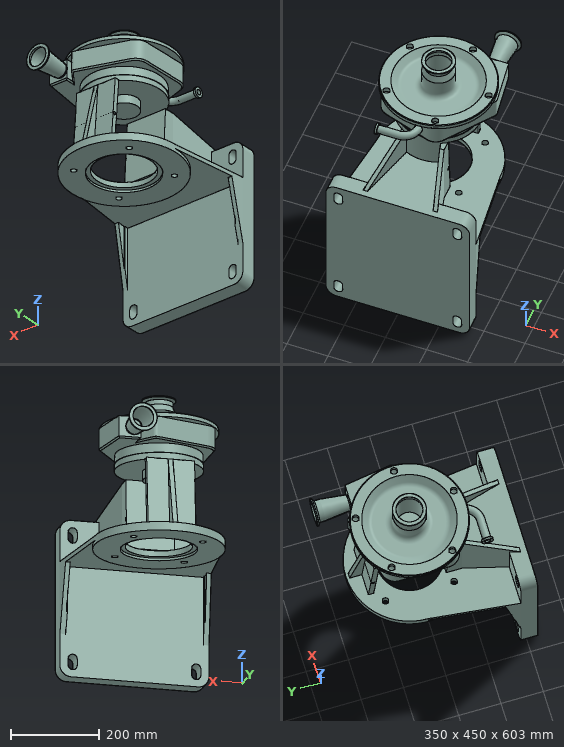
import cadquery as cq
import math


TOTAL_HEIGHT = 603.0
FOOT_WIDTH = 350.0
FOOT_HEIGHT = 370.0
FOOT_THICKNESS = 40.5
FOOT_FRONT_Y = -251.0
FOOT_BACK_Y = FOOT_FRONT_Y + FOOT_THICKNESS
FOOT_CORNER_RADIUS = 26.0
SLOT_WIDTH = 21.0
SLOT_LENGTH = 36.0
SLOT_EDGE_X = 30.0
SLOT_EDGE_Z = 35.5

SHELF_TOP_Z = 271.0
SHELF_THICKNESS = 11.0
SHELF_BOTTOM_Z = SHELF_TOP_Z - SHELF_THICKNESS
SHELF_RADIUS = 150.0
MOTOR_FACE_Z = 251.0
MOTOR_BORE_RADIUS = 76.0
MOTOR_REGISTER_RADIUS = 87.5
MOTOR_REGISTER_DEPTH = 6.0
MOTOR_BOLT_CIRCLE_RADIUS = 114.5
MOTOR_BOLT_DIAMETER = 14.5
GUSSET_THICKNESS = 11.0
GUSSET_DEPTH = 34.5
GUSSET_FOOT_Z = 99.5

RING_BOTTOM_Z = 435.0
SUPPORT_HALF_WIDTH = 56.0
FRONT_INNER_Y_TOP = -79.5
FRONT_INNER_Y_BOTTOM = -70.0
FRONT_END_Y = -108.0
RIB_END_Y = -235.0
RIB_END_X = 90.5
RIB_THICKNESS = 10.0
BACK_INNER_Y_TOP = 88.0
BACK_INNER_Y_BOTTOM = 101.5
BACK_WALL_THICKNESS = 12.5
BACK_RIB_Y_TOP = 101.0
BACK_RIB_Y_BOTTOM = 143.0
BACK_RIB_THICKNESS = 11.5
CROSS_HOLE_DIAMETER = 7.0
CROSS_HOLE_Z = 341.0
CROSS_HOLE_Y = (-79.5, 103.0)

RING_RADIUS = 101.5
RING_TOP_Z = 450.0
COLLAR_RADIUS = 100.0
HUB_RADIUS = 37.5
HUB_BOTTOM_Z = 413.0

CASING_SIDES = 5
CASING_APOTHEM = 114.5
CASING_BOTTOM_Z = 472.0
CASING_TOP_Z = 524.0
CASING_CORNER_FILLET = 34.0
CASING_SMALL_FILLET = 9.0
CASING_CHAMFER = 3.5
OUTLET_BLOCK_X = (73.5, 125.0)
OUTLET_FACE_Y = 114.5

COVER_RADIUS = 135.5
COVER_TOP_Z = 535.0
COVER_CHAMFER = 2.0
COVER_BOLT_CIRCLE_RADIUS = 122.0
COVER_BOLT_RADIUS = 8.0
COVER_BOLT_DEPTH = 12.0
RECESS_DEPTH = 17.0
RECESS_RIM_RADIUS = 108.0
RECESS_RIM_CHAMFER = 2.0
RECESS_CONE_RADIUS = 94.0
RECESS_FLOOR_RADIUS = 84.0
NECK_FILLET = 15.0

INLET_NECK_RADIUS = 38.5
INLET_NECK_TOP_Z = 569.0
INLET_PIPE_RADIUS = 32.0
INLET_PIPE_BOTTOM_Z = 585.0
INLET_BORE_RADIUS = 30.0
INLET_FLANGE_RADIUS = 38.5
FLANGE_RIM = 3.0
FLANGE_TAPER = 4.0

OUTLET_X = 90.5
OUTLET_Z = 499.0
OUTLET_END_Y = 199.0
OUTLET_CONE_END_Y = 179.0
OUTLET_SEAT_LENGTH = 3.0
OUTLET_SEAT_RADIUS = 18.0
OUTLET_ROOT_RADIUS = 19.0
OUTLET_PIPE_RADIUS = 26.0
OUTLET_FLANGE_RADIUS = 32.5
OUTLET_WALL = 2.0

FLUSH_Y = -158.0
FLUSH_Z = 500.5
FLUSH_RADIUS = 9.5
FLUSH_BORE_RADIUS = 6.5
FLUSH_BEND_RADIUS = 35.0
FLUSH_END_X = -89.0
FLUSH_FLANGE_RADIUS = 13.0
FLUSH_FLANGE_THICKNESS = 5.5
FLUSH_EMBEDDED_Y = -108.5


def disc(radius, bottom_z, top_z):
    """Upright cylinder on the pump axis."""
    return cq.Workplane("XY").workplane(offset=bottom_z).circle(radius).extrude(top_z - bottom_z)


def prism_xy(points, bottom_z, top_z):
    """Upright prism over a plan outline."""
    return cq.Workplane("XY").workplane(offset=bottom_z).polyline(points).close().extrude(top_z - bottom_z)


def slab_yz(points, width):
    """Prism along X, centred on x = 0, from a (y, z) outline."""
    return cq.Workplane("YZ").polyline(points).close().extrude(width / 2, both=True)


def turned(profile):
    """Solid of revolution about Z from an (r, z) outline."""
    return cq.Workplane("XZ").polyline(profile).close().revolve(360, (0, 0), (0, 1))


def foot():
    center_z = FOOT_HEIGHT / 2
    slot_pitch_x = FOOT_WIDTH - 2 * SLOT_EDGE_X
    slot_pitch_z = FOOT_HEIGHT - 2 * SLOT_EDGE_Z
    plane = cq.Workplane("XZ", origin=(0, FOOT_BACK_Y, center_z))
    plate = plane.rect(FOOT_WIDTH, FOOT_HEIGHT).extrude(FOOT_THICKNESS)
    plate = plate.edges("|Y").fillet(FOOT_CORNER_RADIUS)
    slots = plane.rarray(slot_pitch_x, slot_pitch_z, 2, 2).slot2D(SLOT_LENGTH, SLOT_WIDTH, 90)
    return plate.cut(slots.extrude(FOOT_THICKNESS))


def shelf_outline():
    """Half-round end with straight sides that spread to the full width of the foot."""
    half_width = FOOT_WIDTH / 2
    return (
        cq.Workplane("XY", origin=(0, 0, SHELF_TOP_Z))
        .moveTo(-half_width, FOOT_BACK_Y)
        .lineTo(half_width, FOOT_BACK_Y)
        .lineTo(SHELF_RADIUS, 0)
        .threePointArc((0, SHELF_RADIUS), (-SHELF_RADIUS, 0))
        .close()
    )


def shelf():
    """Plate with a round motor pad, a bore and a shallow register under it."""
    plate = shelf_outline().extrude(-SHELF_THICKNESS)
    plate = plate.union(disc(SHELF_RADIUS, MOTOR_FACE_Z, SHELF_TOP_Z))
    plate = plate.cut(disc(MOTOR_BORE_RADIUS, MOTOR_FACE_Z, SHELF_TOP_Z))
    plate = plate.cut(disc(MOTOR_REGISTER_RADIUS, MOTOR_FACE_Z, MOTOR_FACE_Z + MOTOR_REGISTER_DEPTH))
    bolts = (
        cq.Workplane("XY", origin=(0, 0, MOTOR_FACE_Z))
        .polarArray(MOTOR_BOLT_CIRCLE_RADIUS, 45, 360, 4)
        .circle(MOTOR_BOLT_DIAMETER / 2)
        .extrude(SHELF_TOP_Z - MOTOR_FACE_Z)
    )
    return plate.cut(bolts)


def gussets():
    """Triangular webs under the shelf, flush with its slanted sides."""
    wedge = slab_yz(
        [
            (FOOT_BACK_Y, SHELF_BOTTOM_Z),
            (FOOT_BACK_Y + GUSSET_DEPTH, SHELF_BOTTOM_Z),
            (FOOT_BACK_Y, GUSSET_FOOT_Z),
        ],
        FOOT_WIDTH,
    )
    flush_sides = shelf_outline().extrude(GUSSET_FOOT_Z - SHELF_TOP_Z)
    between = shelf_outline().offset2D(-GUSSET_THICKNESS).extrude(GUSSET_FOOT_Z - SHELF_TOP_Z)
    opening = between.union(between.translate((0, -2 * GUSSET_THICKNESS, 0)))
    return wedge.intersect(flush_sides).cut(opening)


def front_support():
    """Round-fronted wall between splayed ribs, filled between the ribs up to the top of the foot."""
    side_profile = slab_yz(
        [
            (FRONT_INNER_Y_BOTTOM, SHELF_TOP_Z),
            (FRONT_INNER_Y_TOP, RING_BOTTOM_Z),
            (FRONT_END_Y, RING_BOTTOM_Z),
            (RIB_END_Y, FOOT_HEIGHT),
            (RIB_END_Y, SHELF_TOP_Z),
        ],
        FOOT_WIDTH,
    )
    plan = [
        (SUPPORT_HALF_WIDTH, FRONT_INNER_Y_BOTTOM),
        (SUPPORT_HALF_WIDTH, FRONT_END_Y),
        (RIB_END_X, RIB_END_Y),
    ]
    mirrored_plan = [(-x, y) for x, y in reversed(plan)]
    body = side_profile.intersect(prism_xy(plan + mirrored_plan, SHELF_TOP_Z, RING_BOTTOM_Z))

    splay = (RIB_END_X - SUPPORT_HALF_WIDTH) / (FRONT_END_Y - RIB_END_Y)
    rib_width_x = RIB_THICKNESS * math.hypot(1, splay)
    inner_end_x = RIB_END_X - rib_width_x
    inner_start_x = inner_end_x + splay * RIB_END_Y
    pocket_plan = [
        (inner_start_x, 0),
        (inner_end_x, RIB_END_Y),
        (-inner_end_x, RIB_END_Y),
        (-inner_start_x, 0),
    ]
    pocket = prism_xy(pocket_plan, FOOT_HEIGHT, RING_BOTTOM_Z)
    return body.cut(pocket.cut(disc(RING_RADIUS, FOOT_HEIGHT, RING_BOTTOM_Z)))


def back_support():
    """Leaning wall with one tapered rib behind it."""
    wall = slab_yz(
        [
            (BACK_INNER_Y_BOTTOM, SHELF_TOP_Z),
            (BACK_INNER_Y_TOP, RING_BOTTOM_Z),
            (BACK_INNER_Y_TOP + BACK_WALL_THICKNESS, RING_BOTTOM_Z),
            (BACK_INNER_Y_BOTTOM + BACK_WALL_THICKNESS, SHELF_TOP_Z),
        ],
        2 * SUPPORT_HALF_WIDTH,
    )
    rib = slab_yz(
        [
            (BACK_INNER_Y_BOTTOM, SHELF_TOP_Z),
            (BACK_INNER_Y_TOP, RING_BOTTOM_Z),
            (BACK_RIB_Y_TOP, RING_BOTTOM_Z),
            (BACK_RIB_Y_BOTTOM, SHELF_TOP_Z),
        ],
        BACK_RIB_THICKNESS,
    )
    return wall.union(rib)


def cross_holes():
    """Small holes along X through both supports."""
    return (
        cq.Workplane("YZ")
        .pushPoints([(y, CROSS_HOLE_Z) for y in CROSS_HOLE_Y])
        .circle(CROSS_HOLE_DIAMETER / 2)
        .extrude(SUPPORT_HALF_WIDTH, both=True)
    )


def adapter():
    ring = disc(RING_RADIUS, RING_BOTTOM_Z, RING_TOP_Z)
    collar = disc(COLLAR_RADIUS, RING_TOP_Z, CASING_BOTTOM_Z)
    return ring.union(collar).union(disc(HUB_RADIUS, HUB_BOTTOM_Z, RING_BOTTOM_Z))


def casing():
    """Five-sided body with a square-faced block under the outlet."""
    corner_radius = CASING_APOTHEM / math.cos(math.pi / CASING_SIDES)
    step = 2 * math.pi / CASING_SIDES
    corners = [
        (corner_radius * math.cos(i * step), corner_radius * math.sin(i * step))
        for i in range(CASING_SIDES)
    ]
    block_left_x, block_right_x = OUTLET_BLOCK_X
    block = [
        corners[0],
        (block_right_x, OUTLET_FACE_Y),
        (block_left_x, OUTLET_FACE_Y),
        (block_left_x, 0),
    ]
    body = prism_xy(corners, CASING_BOTTOM_Z, CASING_TOP_Z)
    body = body.edges("|Z and (<X or <Y)").fillet(CASING_CORNER_FILLET)
    body = body.edges("|Z and >Y").fillet(CASING_SMALL_FILLET)
    body = body.union(prism_xy(block, CASING_BOTTOM_Z, CASING_TOP_Z))
    body = body.edges("|Z and >X").fillet(CASING_SMALL_FILLET)
    return body.faces("<Z").edges().chamfer(CASING_CHAMFER)


def cover():
    return disc(COVER_RADIUS, CASING_TOP_Z, COVER_TOP_Z).faces(">Z").edges().chamfer(COVER_CHAMFER)


def cover_recess():
    """Dished ring around the inlet neck, rounded into its floor on both sides."""
    floor_z = COVER_TOP_Z - RECESS_DEPTH
    corner_run = RECESS_CONE_RADIUS - RECESS_FLOOR_RADIUS
    corner_radius = corner_run / math.sin(math.pi / 4)
    corner_rise = corner_radius * (1 - math.cos(math.pi / 4))
    corner_mid_r = RECESS_FLOOR_RADIUS + corner_radius * math.sin(math.pi / 8)
    corner_mid_z = floor_z + corner_radius * (1 - math.cos(math.pi / 8))
    neck_mid = NECK_FILLET * (1 - math.cos(math.pi / 4))
    return (
        cq.Workplane("XZ")
        .moveTo(INLET_NECK_RADIUS, COVER_TOP_Z)
        .lineTo(INLET_NECK_RADIUS, floor_z + NECK_FILLET)
        .threePointArc(
            (INLET_NECK_RADIUS + neck_mid, floor_z + neck_mid),
            (INLET_NECK_RADIUS + NECK_FILLET, floor_z),
        )
        .lineTo(RECESS_FLOOR_RADIUS, floor_z)
        .threePointArc((corner_mid_r, corner_mid_z), (RECESS_CONE_RADIUS, floor_z + corner_rise))
        .lineTo(RECESS_RIM_RADIUS - RECESS_RIM_CHAMFER, COVER_TOP_Z - RECESS_RIM_CHAMFER)
        .lineTo(RECESS_RIM_RADIUS, COVER_TOP_Z)
        .close()
        .revolve(360, (0, 0), (0, 1))
    )


def cover_bolt_holes():
    """Blind holes with drill-point bottoms, one near each casing corner."""
    full_z = COVER_TOP_Z - COVER_BOLT_DEPTH
    drill = turned(
        [
            (0, COVER_TOP_Z),
            (COVER_BOLT_RADIUS, COVER_TOP_Z),
            (COVER_BOLT_RADIUS, full_z),
            (0, full_z - COVER_BOLT_RADIUS),
        ]
    ).val()
    return (
        cq.Workplane("XY")
        .polarArray(COVER_BOLT_CIRCLE_RADIUS, 0, 360, CASING_SIDES)
        .eachpoint(lambda location: drill.moved(location))
    )


def inlet():
    return turned(
        [
            (0, CASING_TOP_Z),
            (INLET_NECK_RADIUS, CASING_TOP_Z),
            (INLET_NECK_RADIUS, INLET_NECK_TOP_Z),
            (INLET_PIPE_RADIUS, INLET_PIPE_BOTTOM_Z),
            (INLET_PIPE_RADIUS, TOTAL_HEIGHT - FLANGE_RIM - FLANGE_TAPER),
            (INLET_FLANGE_RADIUS, TOTAL_HEIGHT - FLANGE_RIM),
            (INLET_FLANGE_RADIUS, TOTAL_HEIGHT),
            (0, TOTAL_HEIGHT),
        ]
    )


def outlet():
    """Reducer pipe along +Y, with a bore that follows its taper down to the seat."""
    root_y = OUTLET_FACE_Y + OUTLET_SEAT_LENGTH
    bore_radius = OUTLET_PIPE_RADIUS - OUTLET_WALL
    profile = [
        (0, OUTLET_FACE_Y),
        (OUTLET_SEAT_RADIUS, OUTLET_FACE_Y),
        (OUTLET_SEAT_RADIUS, root_y),
        (OUTLET_ROOT_RADIUS, root_y),
        (OUTLET_PIPE_RADIUS, OUTLET_CONE_END_Y),
        (OUTLET_PIPE_RADIUS, OUTLET_END_Y - FLANGE_RIM - FLANGE_TAPER),
        (OUTLET_FLANGE_RADIUS, OUTLET_END_Y - FLANGE_RIM),
        (OUTLET_FLANGE_RADIUS, OUTLET_END_Y),
        (bore_radius, OUTLET_END_Y),
        (bore_radius, OUTLET_CONE_END_Y),
        (OUTLET_ROOT_RADIUS - OUTLET_WALL, root_y),
        (0, root_y),
    ]
    along_y = turned(profile).rotate((0, 0, 0), (1, 0, 0), -90)
    return along_y.translate((OUTLET_X, 0, OUTLET_Z))


def flush_pipe():
    """Small pipe that leaves the casing at x = 0 and bends toward -X."""
    bend_x = -FLUSH_BEND_RADIUS
    bend_y = FLUSH_Y + FLUSH_BEND_RADIUS
    bend_mid = FLUSH_BEND_RADIUS * math.cos(math.pi / 4)
    path = (
        cq.Workplane("XY", origin=(0, 0, FLUSH_Z))
        .moveTo(FLUSH_END_X, FLUSH_Y)
        .lineTo(bend_x, FLUSH_Y)
        .threePointArc((bend_x + bend_mid, bend_y - bend_mid), (0, bend_y))
        .lineTo(0, FLUSH_EMBEDDED_Y)
    )
    end_plane = cq.Workplane("YZ", origin=(FLUSH_END_X, FLUSH_Y, FLUSH_Z))
    pipe = end_plane.circle(FLUSH_RADIUS).sweep(path)
    flange = end_plane.circle(FLUSH_FLANGE_RADIUS).extrude(FLUSH_FLANGE_THICKNESS)
    bore = end_plane.circle(FLUSH_BORE_RADIUS).extrude(bend_x - FLUSH_END_X)
    return pipe.union(flange).cut(bore)


supports = front_support().union(back_support()).cut(cross_holes())
bracket = foot().union(shelf()).union(gussets()).union(supports)

pump = adapter().union(casing()).union(cover()).union(inlet())
pump = pump.cut(cover_recess()).cut(cover_bolt_holes())
pump = pump.cut(disc(INLET_BORE_RADIUS, OUTLET_Z, TOTAL_HEIGHT))
pump = pump.union(outlet()).union(flush_pipe())

result = bracket.union(pump)